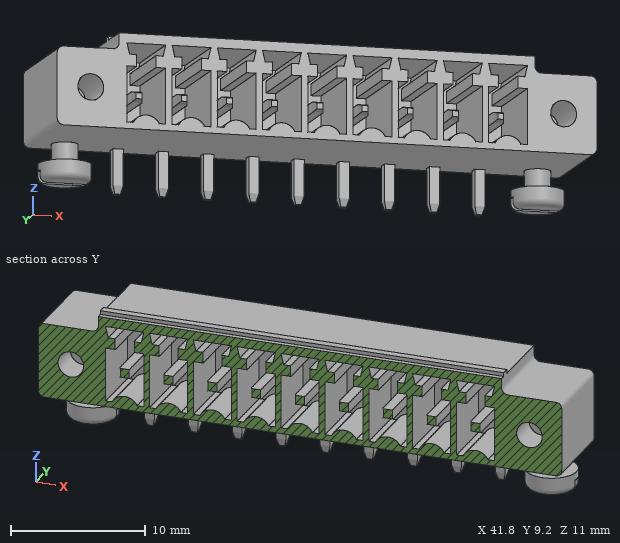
import cadquery as cq

position_count = 9
pitch = 3.5

housing_length = 41.8
housing_depth = 9.2
housing_height = 7.25
flange_length = 4.8
flange_height = 6.0
corner_radius = 0.5

rib_front = 2.9
rib_width = 0.65
rib_height = 0.3

cavity_width = 3.0
cavity_depth = 7.0
cavity_floor = 0.5
cavity_shoulder = 4.75
cavity_neck_top = 5.65
cavity_top = 6.5
neck_width = 1.5
keyway_base_width = 2.6
floor_bump_width = 2.0
floor_bump_height = 0.6

pin_size = 0.8
pin_end_size = 0.45
pin_taper_length = 0.6
pin_axis_height = 2.95
pin_start = 2.0
pin_leg_position = 8.0
pin_leg_length = 3.4

flange_axis_offset = 18.3
insert_axis_height = 3.0
insert_diameter = 4.0
insert_bore = 2.0
insert_depth = 5.0
screw_position = 7.1
shank_diameter = 2.0
shank_embedment = 1.0
head_diameter = 4.0
head_height = 1.5
head_gap = 1.5
head_edge_radius = 0.5
head_slot_width = 0.55
head_slot_depth = 0.9

position_centers = [(i - (position_count - 1) / 2) * pitch for i in range(position_count)]
flange_centers = [-flange_axis_offset, flange_axis_offset]
raised_length = housing_length - 2 * flange_length


def block(size_x, front, back, bottom, top):
    """Box centred on X = 0 between the given Y and Z limits."""
    return cq.Workplane("XY").box(
        size_x, back - front, top - bottom, centered=(True, False, False)
    ).translate((0, front, bottom))


def extrude_back(sketch, depth):
    """Extrude an XZ sketch from the mating face toward +Y."""
    return sketch.extrude(-depth)


def make_housing():
    base = block(housing_length, 0, housing_depth, 0, flange_height)
    base = base.edges("|Y").fillet(corner_radius)
    raised = block(raised_length, 0, housing_depth, 0, housing_height)
    housing = base.union(raised)
    half_raised = raised_length / 2
    margin = corner_radius / 2
    inside_corners = cq.selectors.BoxSelector(
        (-half_raised - margin, -margin, flange_height - margin),
        (half_raised + margin, housing_depth + margin, flange_height + margin),
    )
    housing = housing.edges(inside_corners).edges("|Y").fillet(corner_radius)
    rib_back = rib_front + rib_width
    rib_top = housing_height + rib_height
    rib = block(raised_length, rib_front, rib_back, housing_height, rib_top)
    return housing.union(rib)


def make_cavity():
    """Keyed cavity with a rounded bump along its floor."""
    half_width = cavity_width / 2
    half_neck = neck_width / 2
    half_key = keyway_base_width / 2
    half_bump = floor_bump_width / 2
    outline = (
        cq.Workplane("XZ")
        .moveTo(-half_width, cavity_floor)
        .lineTo(-half_bump, cavity_floor)
        .threePointArc((0, cavity_floor + floor_bump_height), (half_bump, cavity_floor))
        .lineTo(half_width, cavity_floor)
        .lineTo(half_width, cavity_shoulder)
        .lineTo(half_neck, cavity_shoulder)
        .lineTo(half_neck, cavity_neck_top)
        .lineTo(half_key, cavity_neck_top)
        .lineTo(half_width, cavity_top)
        .lineTo(-half_width, cavity_top)
        .lineTo(-half_key, cavity_neck_top)
        .lineTo(-half_neck, cavity_neck_top)
        .lineTo(-half_neck, cavity_shoulder)
        .lineTo(-half_width, cavity_shoulder)
        .close()
    )
    return extrude_back(outline, cavity_depth)


def make_bar(length):
    """Square bar rising from Z = 0 to a tapered end at Z = length."""
    straight_length = length - pin_taper_length
    straight = cq.Workplane("XY").rect(pin_size, pin_size).extrude(straight_length)
    taper = (
        cq.Workplane("XY")
        .workplane(offset=straight_length)
        .rect(pin_size, pin_size)
        .workplane(offset=pin_taper_length)
        .rect(pin_end_size, pin_end_size)
        .loft()
    )
    return straight.union(taper)


def make_pin():
    """Contact blade pointing to -Y joined to a solder leg pointing to -Z."""
    half_pin = pin_size / 2
    blade_root = pin_leg_position + half_pin
    blade = make_bar(blade_root - pin_start).rotate((0, 0, 0), (1, 0, 0), 90)
    blade = blade.translate((0, blade_root, pin_axis_height))
    leg_root = pin_axis_height + half_pin
    leg = make_bar(leg_root + pin_leg_length).rotate((0, 0, 0), (1, 0, 0), 180)
    leg = leg.translate((0, pin_leg_position, leg_root))
    return blade.union(leg)


def make_insert_pocket():
    pocket = cq.Workplane("XZ").center(0, insert_axis_height).circle(insert_diameter / 2)
    return extrude_back(pocket, insert_depth)


def make_insert():
    """Bushing that sits flush in the mating face of a flange."""
    ring = (
        cq.Workplane("XZ")
        .center(0, insert_axis_height)
        .circle(insert_diameter / 2)
        .circle(insert_bore / 2)
    )
    return extrude_back(ring, insert_depth)


def make_screw():
    """Slotted screw hanging below a flange."""
    head_bottom = -head_gap - head_height
    head = cq.Workplane("XY").circle(head_diameter / 2).extrude(head_height)
    head = head.faces("<Z").edges().fillet(head_edge_radius)
    slot = cq.Workplane("XY").box(
        head_diameter, head_slot_width, head_slot_depth, centered=(True, True, False)
    )
    head = head.cut(slot).translate((0, 0, head_bottom))
    shank = cq.Workplane("XY").workplane(offset=-head_gap).circle(shank_diameter / 2)
    shank = shank.extrude(head_gap + shank_embedment)
    return head.union(shank).translate((0, screw_position, 0))


result = make_housing()

for x in position_centers:
    result = result.cut(make_cavity().translate((x, 0, 0)))
    result = result.union(make_pin().translate((x, 0, 0)))

for x in flange_centers:
    result = result.union(make_screw().translate((x, 0, 0)))
    result = result.cut(make_insert_pocket().translate((x, 0, 0)))

for x in flange_centers:
    result = result.union(make_insert().translate((x, 0, 0)), clean=False)